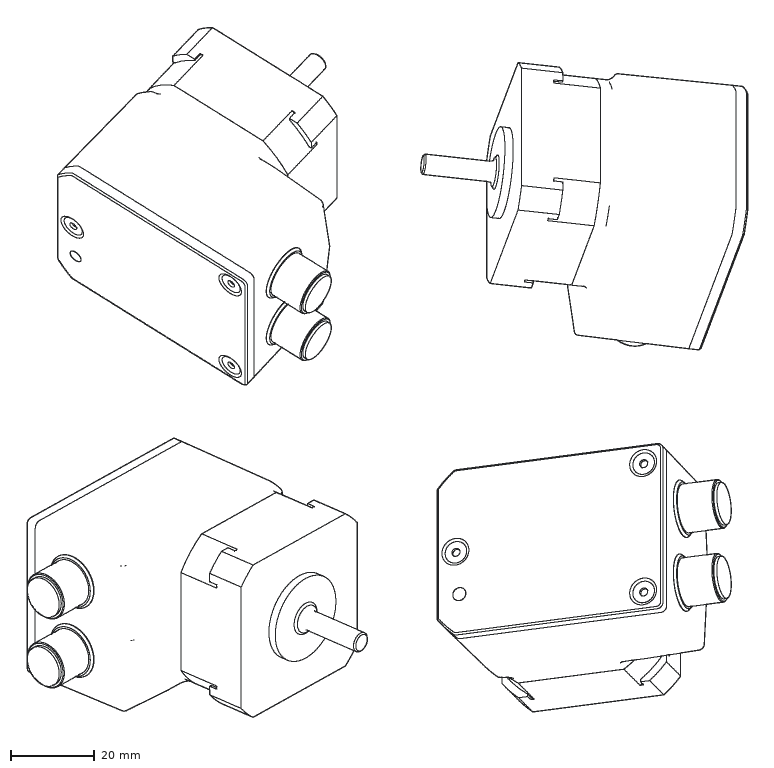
import cadquery as cq
import math


motor_side = 42.05
motor_half = motor_side / 2
motor_length = 19.3
cap_corner_diameter = 53.75
stator_corner_diameter = 50.0
cap_length = 10.1
ear_length = 2.2
ear_inset = 0.9
flange_diameter = 22.0
flange_height = 2.05
shaft_diameter = 5.0
shaft_length = 20.0
shaft_chamfer = 0.4
shaft_ring_diameter = 8.3
shaft_ring_height = 0.5
shaft_root_round = 1.05

total_length = 55.5
cover_thickness = 3.0
cover_left = -21.3
cover_right = 36.4
cover_height = 42.6
rear_corner_radius = 27.1
corner_round = 1.5
rim_chamfer = 0.45
window_diameter = 3.3
window_depth = 0.1
window_x = -15.5
window_z = -11.0
screw_positions = [(31.5, 16.5), (31.5, -16.5), (-16.45, 0)]
screw_recess_diameter = 6.9
screw_head_diameter = 5.5
screw_recess_depth = 0.4
socket_diameter = 2.05
socket_depth = 0.75
socket_tip_height = 0.2

seam_y = -motor_length
cover_y = cover_thickness - total_length
draft_angle = 0.5
edge_round = 0.9
left_floor_depth = 4.3
left_floor_round = 1.4
shoulder_drop = 1.6
shoulder_side_drop = 2.8
shoulder_slope = 3.5
shoulder_root_round = 1.1
ridge_y = seam_y - shoulder_drop
roof_edge_y = ridge_y - shoulder_side_drop

connector_y = -40.7
connector_heights = (-9.5, 9.5)
connector_end = 46.8
connector_seat = 35.5
base_diameter = 13.9
base_rim_diameter = 12.8
base_height = 1.5
base_rim_length = 0.6
barrel_diameter = 11.85
barrel_end = 46.05
barrel_chamfer = 0.2
tip_diameter = 10.3

reach = 45.3
edge_margin = 0.75


def section(y):
    """Workplane across the motor axis, with X to the right and Z up, facing -Y."""
    return cq.Workplane("XZ", origin=(0, y, 0))


def rear_outline(y, inset):
    """Rear outline with left corners turned about the axis, set in from the cover's outline."""
    left = cover_left + inset
    right = cover_right - inset
    half = cover_height / 2 - inset
    radius = rear_corner_radius - inset
    corner_x = -math.sqrt(radius ** 2 - half ** 2)
    corner_z = math.sqrt(radius ** 2 - left ** 2)
    middle = radius * math.sqrt(0.5)
    return (
        section(y)
        .moveTo(right, -half)
        .lineTo(right, half)
        .lineTo(corner_x, half)
        .threePointArc((-middle, middle), (left, corner_z))
        .lineTo(left, -corner_z)
        .threePointArc((-middle, -middle), (corner_x, -half))
        .close()
    )


def motor_column(start_y, length, corner_diameter):
    """Square column along the axis with its corners turned to a diameter."""
    square = section(start_y).rect(motor_side, motor_side).extrude(length)
    turned = section(start_y).circle(corner_diameter / 2).extrude(length)
    return square.intersect(turned)


def make_motor():
    body = motor_column(0, motor_length, stator_corner_diameter)
    cap = motor_column(0, cap_length, cap_corner_diameter)

    stator_half_flat = math.sqrt((stator_corner_diameter / 2) ** 2 - motor_half ** 2)
    ear_edge = stator_half_flat + ear_inset
    ear_side = motor_half - ear_edge
    ear_centre = motor_half - ear_side / 2
    ears = (
        section(ear_length - cap_length)
        .rect(2 * ear_centre, 2 * ear_centre, forConstruction=True)
        .vertices()
        .rect(ear_side, ear_side)
        .extrude(ear_length)
    )
    front = cap.intersect(section(0).rect(motor_side, motor_side).extrude(cap_length - ear_length))
    body = body.union(front).union(cap.intersect(ears))

    flange = section(0).circle(flange_diameter / 2).extrude(-flange_height)
    shaft_radius = shaft_diameter / 2
    ring_top = flange_height + shaft_ring_height
    root_top = ring_top + shaft_root_round
    bend = shaft_root_round * (1 - math.sqrt(0.5))
    shaft = (
        cq.Workplane("XY")
        .moveTo(0, 0)
        .lineTo(shaft_ring_diameter / 2, 0)
        .lineTo(shaft_ring_diameter / 2, flange_height)
        .lineTo(shaft_radius + shaft_root_round, ring_top)
        .threePointArc((shaft_radius + bend, ring_top + bend), (shaft_radius, root_top))
        .lineTo(shaft_radius, shaft_length - shaft_chamfer)
        .lineTo(shaft_radius - shaft_chamfer, shaft_length)
        .lineTo(0, shaft_length)
        .close()
        .revolve(360, (0, 0, 0), (0, 1, 0))
    )
    return body.union(flange).union(shaft)


def make_cover():
    cover = rear_outline(cover_y, 0).extrude(cover_thickness)
    cover = cover.edges("|Y").edges(">X").fillet(corner_round)
    left_side = cq.selectors.BoxSelector((-reach, -2 * reach, -reach), (0, 0, reach))
    cover = cover.edges(left_side).edges("|Y").fillet(edge_round)
    cover = cover.faces("<Y").chamfer(rim_chamfer)

    recess = cq.Solid.makeCone(
        screw_recess_diameter / 2, screw_head_diameter / 2, screw_recess_depth,
        cq.Vector(0, 0, 0), cq.Vector(0, 1, 0),
    )
    socket_end = screw_recess_depth + socket_depth
    socket = (
        cq.Workplane("XY")
        .polyline([
            (0, 0),
            (socket_diameter / 2, 0),
            (socket_diameter / 2, socket_end),
            (0, socket_end + socket_tip_height),
        ])
        .close()
        .revolve(360, (0, 0, 0), (0, 1, 0))
    )
    for x, z in screw_positions:
        place = cq.Vector(x, -total_length, z)
        cover = cover.cut(cq.Workplane(recess.translate(place)))
        cover = cover.cut(socket.translate(place))

    window = section(-total_length).center(window_x, window_z)
    return cover.cut(window.circle(window_diameter / 2).extrude(-window_depth))


def left_corner_cutter():
    """Space outside the turned stator, with a rounded floor, on the left side."""
    inner = stator_corner_diameter / 2
    floor_y = seam_y - left_floor_depth
    bend = left_floor_round * (1 - math.sqrt(0.5))
    profile = (
        cq.Workplane("XY")
        .moveTo(inner, seam_y)
        .lineTo(inner, floor_y + left_floor_round)
        .threePointArc((inner + bend, floor_y + bend), (inner + left_floor_round, floor_y))
        .lineTo(reach, floor_y)
        .lineTo(reach, seam_y)
        .close()
    )
    ring = profile.revolve(360, (0, 0, 0), (0, 1, 0))
    left_side = cq.Workplane("XY").box(reach, 2 * reach, 2 * reach).translate((-reach / 2, seam_y, 0))
    return ring.intersect(left_side)


def space_above_roof(length):
    """Space above the ridged shoulder roof, running along +X from the motor axis."""
    half = cover_height / 2
    return cq.Workplane("YZ").polyline([
        (seam_y + reach, -half),
        (roof_edge_y, -half),
        (ridge_y, 0),
        (roof_edge_y, half),
        (seam_y + reach, half),
    ]).close().extrude(length)


def shoulder_cutter():
    """Space above the shoulder roof, outside the column that carries the motor."""
    beside_column = space_above_roof(motor_half)
    beyond_column = space_above_roof(reach).rotate(
        (motor_half, ridge_y, 0), (motor_half, ridge_y, 1), -shoulder_slope
    )
    column = section(seam_y + reach).circle(stator_corner_diameter / 2).extrude(2 * reach)
    column = column.intersect(cq.Workplane("XY").box(motor_side, 4 * reach, 2 * reach))
    return beside_column.union(beyond_column).cut(column)


def round_edges(body, radius, boxes):
    """Fillet the edges whose centres lie in any of the boxes, given by opposite corners."""
    edges = cq.Workplane(body.val())
    picked = [edge for low, high in boxes for edge in edges.edges(cq.selectors.BoxSelector(low, high)).vals()]
    return edges.newObject(picked).fillet(radius)


def round_upright_edges(housing):
    """Round the right corner edges and both borders of each turned left corner."""
    low, high = cover_y + edge_margin, seam_y - edge_margin
    right = ((motor_half, low, -reach), (reach, high, reach))
    left = ((-reach, low, -reach), (0, high, reach))
    return round_edges(round_edges(housing, corner_round, [right]), edge_round, [left])


def round_shoulder(housing):
    """Round the foot of the motor column, then the outer rim of the shoulder."""
    rim_y = roof_edge_y - 2 * edge_round
    top = seam_y - edge_margin / 2
    inside = motor_half - edge_margin / 2
    foot = ((0, rim_y, -inside), (motor_half + edge_margin, top, inside))
    housing = round_edges(housing, shoulder_root_round, [foot])

    sides = [
        ((0, rim_y, -reach), (reach, top, -inside)),
        ((0, rim_y, inside), (reach, top, reach)),
    ]
    end = ((cover_right - corner_round, rim_y, -reach), (reach, top, reach))
    return round_edges(housing, edge_round, [*sides, end])


def round_left_pockets(housing):
    """Round the borders of the two left corner pockets on the four flat sides."""
    low, high = seam_y - left_floor_depth + edge_margin / 10, seam_y - edge_margin / 2
    inside = motor_half - edge_margin / 2
    corner = motor_half - corner_round
    boxes = []
    for sign in (-1, 1):
        boxes.append(((-corner, low, sign * inside), (0, high, sign * reach)))
        boxes.append(((-reach, low, 0), (-inside, high, sign * corner)))
    return round_edges(housing, edge_round, boxes)


def make_housing():
    length = seam_y - cover_y
    inset = length * math.tan(math.radians(draft_angle))
    wide_end = rear_outline(cover_y, 0).val()
    narrow_end = rear_outline(seam_y, inset).val()
    housing = cq.Workplane(cq.Solid.makeLoft([wide_end, narrow_end], True))
    housing = round_upright_edges(housing)
    housing = round_shoulder(housing.cut(shoulder_cutter()))
    housing = round_left_pockets(housing.cut(left_corner_cutter()))
    for z in connector_heights:
        housing = housing.cut(make_connector(z))
    return housing


def make_connector(z):
    barrel = barrel_diameter / 2
    profile = cq.Workplane("XY").polyline([
        (connector_seat, 0),
        (connector_seat, base_diameter / 2),
        (connector_seat + base_height - base_rim_length, base_diameter / 2),
        (connector_seat + base_height, base_rim_diameter / 2),
        (connector_seat + base_height, barrel),
        (barrel_end - barrel_chamfer, barrel),
        (barrel_end, barrel - barrel_chamfer),
        (barrel_end, tip_diameter / 2),
        (connector_end, tip_diameter / 2),
        (connector_end, 0),
    ]).close()
    return profile.revolve(360, (0, 0, 0), (1, 0, 0)).translate((0, connector_y, z))


motor = make_motor()
housing = make_housing()
cover = make_cover()
connectors = [make_connector(z) for z in connector_heights]

result = cq.Compound.makeCompound([
    motor.val(),
    housing.val(),
    cover.val(),
    *[connector.val() for connector in connectors],
])